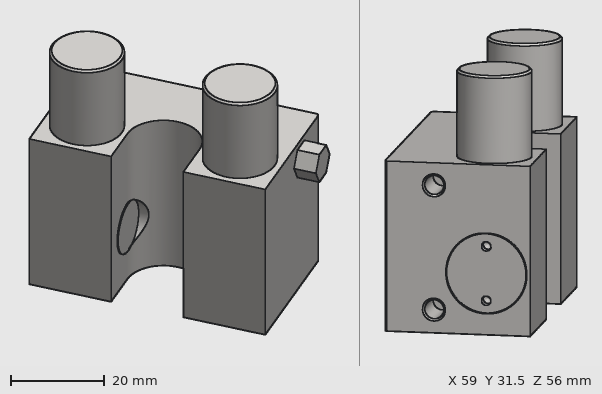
import cadquery as cq
import math

OVERALL_WIDTH = 59.0
BLOCK_WIDTH = 54.0
BLOCK_DEPTH = 31.5
BLOCK_HEIGHT = 37.0
BACK_EDGE_CHAMFER = 0.5
LEFT_FACE_X = -BLOCK_WIDTH / 2

CHANNEL_WIDTH = 16.5
CHANNEL_REACH = 17.75
CHANNEL_RADIUS = CHANNEL_WIDTH / 2

PIN_DIAMETER = 16.0
PIN_SPACING = 35.0
PIN_TOP_Z = 56.0
PIN_CHAMFER = 0.5

AXIS_Y = 9.5
PISTON_Z = 13.35
PISTON_DIAMETER = 12.0
PISTON_PROTRUSION = 0.25

PLUG_BORE_DIAMETER = 17.5
PLUG_DIAMETER = 17.3
PLUG_GAP_DEPTH = 0.5
SPANNER_HOLE_DIAMETER = 2.0
SPANNER_HOLE_DEPTH = 2.0
SPANNER_HOLE_SPACING = 11.8

PORT_Y = 20.8
LOWER_PORT_Z = 5.1
UPPER_PORT_Z = 32.1
PORT_DIAMETER = 4.15
PORT_MOUTH_DIAMETER = 4.95
PORT_DEPTH = 10.05

HEX_SIDES = 6
HEX_ACROSS_FLATS = 7.0
HEX_LENGTH = OVERALL_WIDTH - BLOCK_WIDTH

DRILL_POINT_ANGLE = 118


def x_cylinder(x, y, z, diameter, length):
    """Cylinder that starts at the given point and runs toward +X."""
    return cq.Workplane("YZ", origin=(x, y, z)).circle(diameter / 2).extrude(length)


def x_cone(x, y, z, start_diameter, end_diameter, length):
    """Cone or truncated cone that starts at the given point and runs toward +X."""
    cone = cq.Solid.makeCone(
        start_diameter / 2, end_diameter / 2, length, cq.Vector(x, y, z), cq.Vector(1, 0, 0)
    )
    return cq.Workplane(cone)


def make_block():
    block = cq.Workplane("XY").box(
        BLOCK_WIDTH, BLOCK_DEPTH, BLOCK_HEIGHT, centered=(True, False, False)
    )
    block = block.faces(">Y").edges("|Z").chamfer(BACK_EDGE_CHAMFER)
    arc_start_y = CHANNEL_REACH - CHANNEL_RADIUS
    channel = (
        cq.Workplane("XY")
        .moveTo(-CHANNEL_RADIUS, 0)
        .lineTo(-CHANNEL_RADIUS, arc_start_y)
        .threePointArc((0, CHANNEL_REACH), (CHANNEL_RADIUS, arc_start_y))
        .lineTo(CHANNEL_RADIUS, 0)
        .close()
        .extrude(BLOCK_HEIGHT)
    )
    return block.cut(channel)


def make_pins():
    return (
        cq.Workplane("XY", origin=(0, AXIS_Y, BLOCK_HEIGHT))
        .pushPoints([(-PIN_SPACING / 2, 0), (PIN_SPACING / 2, 0)])
        .circle(PIN_DIAMETER / 2)
        .extrude(PIN_TOP_Z - BLOCK_HEIGHT)
        .faces(">Z")
        .edges()
        .chamfer(PIN_CHAMFER)
    )


def make_piston_opening():
    """Cylinder bore across the channel, between the faces of the two pistons."""
    return x_cylinder(-CHANNEL_RADIUS, AXIS_Y, PISTON_Z, PISTON_DIAMETER, CHANNEL_WIDTH)


def make_piston_ends():
    """Flat piston ends, standing slightly proud of the channel walls."""
    left_x = -CHANNEL_RADIUS
    right_x = CHANNEL_RADIUS - PISTON_PROTRUSION
    left = x_cylinder(left_x, AXIS_Y, PISTON_Z, PISTON_DIAMETER, PISTON_PROTRUSION)
    right = x_cylinder(right_x, AXIS_Y, PISTON_Z, PISTON_DIAMETER, PISTON_PROTRUSION)
    return left.union(right)


def make_plug_gap():
    """Thin annular gap between the plug and its bore."""
    start = (LEFT_FACE_X, AXIS_Y, PISTON_Z)
    bore = x_cylinder(*start, PLUG_BORE_DIAMETER, PLUG_GAP_DEPTH)
    return bore.cut(x_cylinder(*start, PLUG_DIAMETER, PLUG_GAP_DEPTH))


def make_spanner_hole(z):
    """Blind hole with a conical drill point."""
    point_length = SPANNER_HOLE_DIAMETER / 2 / math.tan(math.radians(DRILL_POINT_ANGLE / 2))
    hole = x_cylinder(LEFT_FACE_X, AXIS_Y, z, SPANNER_HOLE_DIAMETER, SPANNER_HOLE_DEPTH)
    bottom_x = LEFT_FACE_X + SPANNER_HOLE_DEPTH
    return hole.union(x_cone(bottom_x, AXIS_Y, z, SPANNER_HOLE_DIAMETER, 0, point_length))


def make_port(z):
    """Flat-bottomed blind hole with a 45 degree mouth chamfer."""
    mouth_depth = (PORT_MOUTH_DIAMETER - PORT_DIAMETER) / 2
    hole = x_cylinder(LEFT_FACE_X, PORT_Y, z, PORT_DIAMETER, PORT_DEPTH)
    return hole.union(
        x_cone(LEFT_FACE_X, PORT_Y, z, PORT_MOUTH_DIAMETER, PORT_DIAMETER, mouth_depth)
    )


def make_hex_head():
    """Hexagonal prism with two flats facing up and down."""
    across_corners = HEX_ACROSS_FLATS / math.cos(math.pi / HEX_SIDES)
    return (
        cq.Workplane("YZ", origin=(BLOCK_WIDTH / 2, PORT_Y, UPPER_PORT_Z))
        .polygon(HEX_SIDES, across_corners)
        .extrude(HEX_LENGTH)
    )


result = make_block().union(make_pins())
result = result.cut(make_piston_opening()).union(make_piston_ends())
result = result.cut(make_plug_gap())
for side in (-1, 1):
    result = result.cut(make_spanner_hole(PISTON_Z + side * SPANNER_HOLE_SPACING / 2))
for port_z in (LOWER_PORT_Z, UPPER_PORT_Z):
    result = result.cut(make_port(port_z))
result = result.union(make_hex_head())